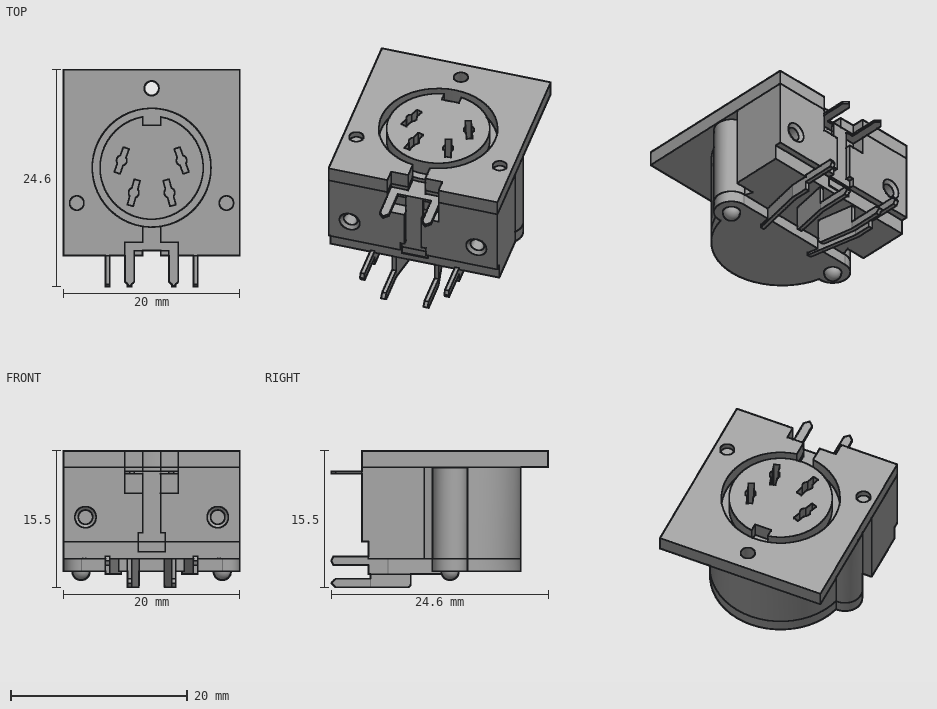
import cadquery as cq
import math


width = 20.0
half_width = width / 2
overall_depth = 24.6
front_y = -9.99
back_y = 11.12
flange_bottom = -1.85
mount_hole_radius = 0.8
back_hole_y = 9.0
side_hole_x = 8.49
side_hole_y = -4.0
side_hole_depth = 0.75

tip_y = back_y - overall_depth

shell_radius = 8.05
column_radius = 2.0
column_x = half_width - column_radius
column_gap = 0.07
block_back_y = -2.95
housing_bottom = -12.23
step_y = -9.25
step_z = -10.3

core_radius = 5.85
ring_radius = 6.75
key_half_width = 1.0
key_inner_y = 4.8

slot_layout = [(13.5, 20.0), (-54.5, 15.0)]
pin_circle_radius = 3.5
slot_length = 3.0
slot_width = 0.7
slot_hole_radius = 0.6
slot_depth = 4.92

screw_x = 7.5
screw_z = -7.53
screw_radius = 0.8
screw_mouth_radius = 1.2
screw_cone_depth = screw_mouth_radius - screw_radius
screw_depth = 1.97

sheet_thickness = 0.3
shield_gap = 0.5
shield_top = flange_bottom - shield_gap
shield_bottom = shield_top - sheet_thickness
shield_front_y = -9.42
strip_back_y = shield_front_y + sheet_thickness
leg_outer_x = 3.03
leg_inner_x = 1.97
leg_middle_x = (leg_outer_x + leg_inner_x) / 2
leg_tip_length = 0.52

notch_back_y = -8.49
notch_bottom = -4.8
foot_half_width = 1.53
foot_top = -9.27
foot_recess_bottom = -11.46

base_bottom = -13.68
base_front_y = -column_radius
dome_radius = 1.0

contact_thickness = 0.5
pin_height = 0.98

outer_contact_x = 5.0
outer_bend_y = -7.05
outer_back_y = -0.6
outer_shift = 1.3
outer_bottom = -14.0
outer_pin_bottom = -12.96
outer_tip_length = 0.25

inner_contact_x = 2.5
inner_bend_y = -9.03
inner_back_y = -4.45
inner_shift = 0.84
inner_bottom = -15.5
inner_tip_length = pin_height / 2
inner_corner_radius = 0.4


def centred_box(half_x, y0, y1, z0, z1):
    """Block that is symmetric about X = 0."""
    section = cq.Workplane("XY", origin=(0, (y0 + y1) / 2, z0)).rect(2 * half_x, y1 - y0)
    return section.extrude(z1 - z0)


def cylinder(x, y, radius, z0, z1):
    """Upright cylinder from z0 to z1."""
    return cq.Workplane("XY", origin=(x, y, z0)).circle(radius).extrude(z1 - z0)


def make_notch():
    """Opening for the shield, from the core forward and out through the front."""
    neck = centred_box(key_half_width, notch_back_y, -core_radius, shield_bottom, 0)
    mouth = centred_box(leg_outer_x, front_y, notch_back_y, notch_bottom, 0)
    return neck.union(mouth)


def make_flange():
    """Plate with the socket opening, the front notch, one through hole and two blind holes."""
    plate = centred_box(half_width, front_y, back_y, flange_bottom, 0)
    plate = plate.cut(cylinder(0, 0, ring_radius, flange_bottom, 0))
    plate = plate.cut(make_notch())
    plate = plate.cut(cylinder(0, back_hole_y, mount_hole_radius, flange_bottom, 0))
    for side in (-1, 1):
        side_hole = cylinder(side * side_hole_x, side_hole_y, mount_hole_radius, -side_hole_depth, 0)
        plate = plate.cut(side_hole)
    return plate


def make_core():
    """Round core, level with the top of the flange, with a keyway at the back."""
    core = cylinder(0, 0, core_radius, shield_bottom, 0)
    return core.cut(centred_box(key_half_width, key_inner_y, core_radius, shield_bottom, 0))


def make_contact_slot(pin_angle, tilt):
    """Narrow slot widened by a round hole at its middle."""
    x = pin_circle_radius * math.cos(math.radians(pin_angle))
    y = pin_circle_radius * math.sin(math.radians(pin_angle))
    slot = cq.Workplane("XY").rect(slot_width, slot_length).extrude(-slot_depth)
    slot = slot.union(cylinder(0, 0, slot_hole_radius, -slot_depth, 0))
    return slot.rotate((0, 0, 0), (0, 0, 1), tilt).translate((x, y, 0))


def make_screw_hole(x):
    """Blind hole in the front face with a conical mouth."""
    profile = [
        (0, 0),
        (screw_mouth_radius, 0),
        (screw_radius, screw_cone_depth),
        (screw_radius, screw_depth),
        (0, screw_depth),
    ]
    hole = cq.Workplane("XY").polyline(profile).close().revolve(360, (0, 0), (0, 1))
    return hole.translate((x, front_y, screw_z))


def make_foot_recess():
    """T-shaped recess in the front that the shield strip lies in."""
    stem = centred_box(key_half_width, front_y, strip_back_y, foot_top, notch_bottom)
    foot = centred_box(foot_half_width, front_y, strip_back_y, foot_recess_bottom, foot_top)
    return stem.union(foot)


def make_housing():
    """Round shell with side columns, a stepped front block and the core of the socket."""
    body = cylinder(0, 0, shell_radius, housing_bottom, flange_bottom)
    body = body.union(centred_box(half_width, front_y, block_back_y, housing_bottom, flange_bottom))
    for side in (-1, 1):
        column = cylinder(side * column_x, 0, column_radius, housing_bottom, flange_bottom - column_gap)
        body = body.union(column)
    body = body.cut(centred_box(half_width, front_y, step_y, housing_bottom, step_z))
    body = body.cut(make_notch())
    body = body.cut(make_foot_recess())
    body = body.cut(cylinder(0, 0, ring_radius, shield_bottom, flange_bottom))
    body = body.union(make_core())
    for side in (-1, 1):
        body = body.cut(make_screw_hole(side * screw_x))
    for pin_angle, tilt in slot_layout:
        slot = make_contact_slot(pin_angle, tilt)
        body = body.cut(slot).cut(slot.mirror("YZ"))
    return body


def make_shield_leg():
    """Right-hand flat terminal with a pointed tip."""
    outline = [
        (leg_inner_x, notch_back_y),
        (leg_inner_x, tip_y + leg_tip_length),
        (leg_middle_x, tip_y),
        (leg_outer_x, tip_y + leg_tip_length),
        (leg_outer_x, notch_back_y),
    ]
    leg = cq.Workplane("XY", origin=(0, 0, shield_bottom)).polyline(outline).close()
    return leg.extrude(sheet_thickness)


def make_shield():
    """Keyed ring with a strap to a crossbar, two terminal legs and a T-shaped strip down the front."""
    ring = cylinder(0, 0, ring_radius, shield_bottom, flange_bottom)
    strap = centred_box(key_half_width, notch_back_y, -core_radius, shield_bottom, shield_top)
    shield = ring.union(strap).cut(make_core())
    crossbar = centred_box(leg_outer_x, shield_front_y, notch_back_y, shield_bottom, shield_top)
    leg = make_shield_leg()
    shield = shield.union(crossbar).union(leg).union(leg.mirror("YZ"))
    strip = centred_box(key_half_width, shield_front_y, strip_back_y, foot_top, shield_top)
    foot = centred_box(foot_half_width, shield_front_y, strip_back_y, step_z, foot_top)
    return shield.union(strip).union(foot)


def make_blade(x, bend_y, blade_back_y, shift, bottom):
    """Upright blade below the housing that slants toward the middle as it goes back."""
    half = contact_thickness / 2
    outline = [
        (x - half, bend_y),
        (x + half, bend_y),
        (x + half - shift, blade_back_y),
        (x - half - shift, blade_back_y),
    ]
    blade = cq.Workplane("XY", origin=(0, 0, bottom)).polyline(outline).close()
    return blade.extrude(housing_bottom - bottom)


def make_terminal(x, root_y, bottom, tip_length):
    """Forward terminal with a wedge-shaped tip."""
    top = bottom + pin_height
    outline = [
        (root_y, bottom),
        (tip_y + tip_length, bottom),
        (tip_y, bottom + pin_height / 2),
        (tip_y + tip_length, top),
        (root_y, top),
    ]
    terminal = cq.Workplane("YZ", origin=(x - contact_thickness / 2, 0, 0)).polyline(outline).close()
    return terminal.extrude(contact_thickness)


def make_outer_contact():
    """Right-hand outer contact: slanted blade, straight plate and terminal."""
    blade = make_blade(outer_contact_x, outer_bend_y, outer_back_y, outer_shift, outer_bottom)
    plate = centred_box(contact_thickness / 2, step_y, outer_bend_y, outer_bottom, housing_bottom)
    terminal = make_terminal(outer_contact_x, step_y, outer_pin_bottom, outer_tip_length)
    return blade.union(plate.translate((outer_contact_x, 0, 0))).union(terminal)


def make_inner_contact():
    """Right-hand inner contact: slanted blade with a rounded back corner, and terminal."""
    blade = make_blade(inner_contact_x, inner_bend_y, inner_back_y, inner_shift, inner_bottom)
    blade = blade.edges("<Z and >Y").fillet(inner_corner_radius)
    terminal = make_terminal(inner_contact_x, inner_bend_y, inner_bottom, inner_tip_length)
    return blade.union(terminal)


def make_locating_pin(side):
    """Round pin through the base, ending in a dome below it."""
    shaft = cylinder(side * column_x, 0, dome_radius, base_bottom, housing_bottom)
    dome = cq.Workplane("XY").sphere(dome_radius).translate((side * column_x, 0, base_bottom))
    return shaft.union(dome)


def make_base(inserts):
    """Plate under the housing with a straight front, cut out around the bodies that enter it."""
    base = cylinder(0, 0, shell_radius, base_bottom, housing_bottom)
    base = base.intersect(centred_box(half_width, base_front_y, back_y, base_bottom, housing_bottom))
    base = base.union(centred_box(column_x, base_front_y, 0, base_bottom, housing_bottom))
    for side in (-1, 1):
        base = base.union(cylinder(side * column_x, 0, column_radius, base_bottom, housing_bottom))
    for insert in inserts:
        base = base.cut(insert)
    return base


flange = make_flange()
housing = make_housing()
shield = make_shield()

contacts = []
for contact in (make_outer_contact(), make_inner_contact()):
    contacts.append(contact)
    contacts.append(contact.mirror("YZ"))

locating_pins = [make_locating_pin(side) for side in (-1, 1)]
base = make_base(contacts + locating_pins)

bodies = [flange, housing, shield, base, *contacts, *locating_pins]
result = cq.Compound.makeCompound([body.solids().val() for body in bodies])